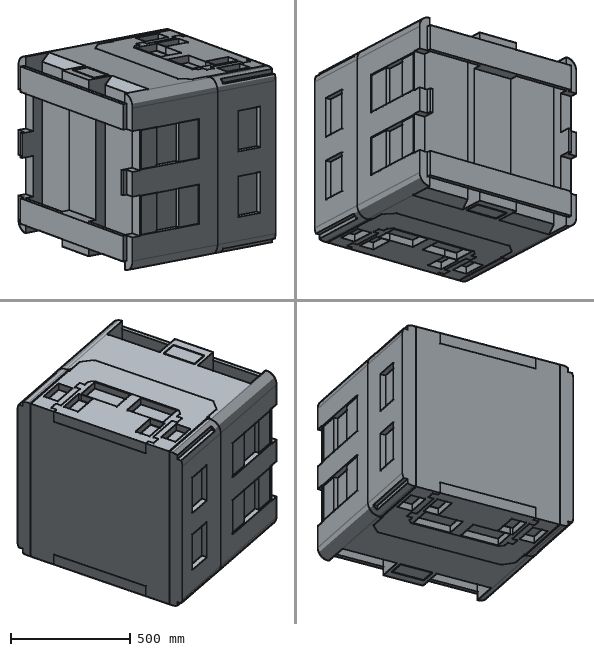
import cadquery as cq

width = 819.15
height = 768.35
body_depth = 742.95
corner_radius = 50.8
half_width = width / 2
half_height = height / 2

seam_y = 441.325

bumper_thickness = 19.05
bumper_inset = 41.275
bumper_half_width = half_width - bumper_inset
bumper_half_height = half_height - bumper_inset

arm_length = 38.1
corner_arm_height = 152.4
window_half_height = half_height - corner_arm_height
middle_arm_half_height = 53.975
side_wall = 53.975
bay_outer_x = half_width - side_wall
column_half_width = 95.25
bay_depth = 85.725
bay_bevel = 34.925

label_width = 152.4
label_length = 76.2
label_front_y = 41.275
label_recess = 3.175

slot_margin = 3.175
slot_bottom = middle_arm_half_height + slot_margin
slot_top = window_half_height - slot_margin
slot_front_y = 44.45
slot_back_y = 346.075
slot_recess = 6.35
slot_pocket_front_y = 130.175
slot_pocket_back_y = 244.475
slot_pocket_depth = 25.4

tongue_front_y = 317.5
tongue_half_width = 339.725
tongue_chamfer = 44.45
centre_half_width = 342.9
mouth_radius = 25.4

side_gap = 3.175
side_block_inner_x = centre_half_width + side_gap
corner_step = 25.4
corner_step_length = 266.7

side_pocket_back_y = body_depth - 79.375
side_pocket_front_y = body_depth - 193.675
side_pocket_depth = 25.4

top_pocket_depth = 31.75
outer_pocket_inner_x = 257.175
outer_pocket_outer_x = 327.025
outer_pocket_back_y = body_depth - 76.2
outer_pocket_front_y = body_depth - 193.675

cap_thickness = 50.8
cap_half_width = 228.6
cap_tab = 25.4
cap_front_y = body_depth - 288.925
cap_chamfer = 19.05
rear_tab_y = (body_depth - 57.15, body_depth - 19.05)
front_tab_y = (body_depth - 244.475, body_depth - 206.375)
small_pocket_x = (142.875, 212.725)
small_pocket_y = (body_depth - 171.45, body_depth - 53.975)
large_pocket_x = (25.4, 203.2)
large_pocket_y = (body_depth - 282.575, body_depth - 174.625)


def box(x_range, y_range, z_range):
    """Box spanning the given ranges."""
    size = [high - low for low, high in (x_range, y_range, z_range)]
    corner = (x_range[0], y_range[0], z_range[0])
    return cq.Workplane("XY").box(*size, centered=False).translate(corner)


def both_x(shape):
    """The shape and its mirror image across x = 0."""
    return shape.union(shape.mirror("YZ"))


def both_z(shape):
    """The shape and its mirror image across z = 0."""
    return shape.union(shape.mirror("XY"))


def rounded_block(front_y, back_y):
    """Full section with rounded edges along Y."""
    block = box((-half_width, half_width), (front_y, back_y), (-half_height, half_height))
    return block.edges("|Y").fillet(corner_radius)


def full_height_prism(outline):
    """Plan outline extruded through the whole height."""
    prism = cq.Workplane("XY").polyline(outline).close().extrude(height)
    return prism.translate((0, 0, -half_height))


def tongue():
    """Tongue of the centre block, with its front corners cut off."""
    chamfer_x = tongue_half_width - tongue_chamfer
    right = [
        (chamfer_x, tongue_front_y),
        (tongue_half_width, tongue_front_y + tongue_chamfer),
        (tongue_half_width, seam_y),
    ]
    left = [(-x, y) for x, y in reversed(right)]
    return full_height_prism(right + left)


def front_bay():
    """Open bay beside the central column, with its back face bevelled at the top and bottom."""
    bevel_z = half_height - bay_bevel
    profile = [
        (0, -half_height),
        (bay_depth + bay_bevel, -half_height),
        (bay_depth, -bevel_z),
        (bay_depth, bevel_z),
        (bay_depth + bay_bevel, half_height),
        (0, half_height),
    ]
    bay = cq.Workplane("YZ").polyline(profile).close().extrude(bay_outer_x - column_half_width)
    return both_x(bay.translate((column_half_width, 0, 0)))


def front_window():
    """Space between the arms, in front of the central column and of the side walls."""
    arm_y = (0, arm_length)
    middle = box((-bay_outer_x, bay_outer_x), arm_y, (-window_half_height, window_half_height))
    notch = box((-half_width, half_width), arm_y, (middle_arm_half_height, window_half_height))
    return middle.union(both_z(notch))


def hand_slots():
    """Stepped slots in both sides of the shell, two per side."""
    slot_z = (slot_bottom, slot_top)
    recess = box((half_width - slot_recess, half_width), (slot_front_y, slot_back_y), slot_z)
    pocket = box(
        (half_width - slot_pocket_depth, half_width),
        (slot_pocket_front_y, slot_pocket_back_y),
        slot_z,
    )
    return both_x(both_z(recess.union(pocket)))


def label_recesses():
    """Recesses on the top and bottom of the central arms."""
    recess = box(
        (-label_width / 2, label_width / 2),
        (label_front_y, label_front_y + label_length),
        (half_height - label_recess, half_height),
    )
    return both_z(recess)


def tongue_mouth_rounds():
    """Material removed to round both vertical edges at the mouth of the tongue opening."""
    corner = box(
        (tongue_half_width, tongue_half_width + mouth_radius),
        (seam_y - mouth_radius, seam_y),
        (-half_height, half_height),
    )
    round_bar = cq.Workplane("XY").circle(mouth_radius).extrude(height).translate(
        (tongue_half_width + mouth_radius, seam_y - mouth_radius, -half_height)
    )
    return both_x(corner.cut(round_bar))


def bumpers():
    """Full-width bars across the top and bottom arms, and a pad on each middle arm."""
    bumper_y = (-bumper_thickness, 0)
    bar = box((-bumper_half_width, bumper_half_width), bumper_y, (window_half_height, bumper_half_height))
    pad = box(
        (bay_outer_x, bumper_half_width),
        bumper_y,
        (-middle_arm_half_height, middle_arm_half_height),
    )
    return both_z(bar).union(both_x(pad))


front_shell = (
    rounded_block(0, seam_y)
    .cut(front_bay())
    .cut(front_window())
    .cut(hand_slots())
    .cut(label_recesses())
    .cut(tongue())
    .cut(tongue_mouth_rounds())
    .union(bumpers())
)


def cap_blank():
    """Top cap plate before its pockets: a bevelled plate with two tabs on each side."""
    cap_z = (half_height - cap_thickness, half_height)
    plate = box((-cap_half_width, cap_half_width), (cap_front_y, body_depth), cap_z)
    plate = plate.edges("|Z and <Y").chamfer(cap_chamfer)
    tab_half_width = cap_half_width + cap_tab
    for tab_y in (rear_tab_y, front_tab_y):
        plate = plate.union(box((-tab_half_width, tab_half_width), tab_y, cap_z))
    return plate


def cap_pockets():
    """Small and large pockets, one pair on each side."""
    pocket_z = (half_height - top_pocket_depth, half_height)
    small = box(small_pocket_x, small_pocket_y, pocket_z)
    large = box(large_pocket_x, large_pocket_y, pocket_z)
    return both_x(small.union(large))


top_cap = cap_blank().cut(cap_pockets())
bottom_cap = top_cap.mirror("XY")


def outer_pockets():
    """Pockets beside the cap plates, in the top and the bottom."""
    pocket = box(
        (outer_pocket_inner_x, outer_pocket_outer_x),
        (outer_pocket_front_y, outer_pocket_back_y),
        (half_height - top_pocket_depth, half_height),
    )
    return both_x(both_z(pocket))


centre_block = (
    box((-centre_half_width, centre_half_width), (seam_y, body_depth), (-half_height, half_height))
    .union(tongue())
    .cut(both_z(cap_blank()))
    .cut(outer_pockets())
)


def corner_steps():
    """Steps cut into the rounded edges, open at the rear."""
    step = box(
        (half_width - corner_step, half_width),
        (body_depth - corner_step_length, body_depth),
        (half_height - corner_step, half_height),
    )
    return both_z(step)


def side_pockets():
    """Two pockets in the outer face, level with the front notches."""
    pocket = box(
        (half_width - side_pocket_depth, half_width),
        (side_pocket_front_y, side_pocket_back_y),
        (middle_arm_half_height, window_half_height),
    )
    return both_z(pocket)


side_region = box((side_block_inner_x, half_width), (seam_y, body_depth), (-half_height, half_height))
right_side_block = (
    rounded_block(seam_y, body_depth).intersect(side_region).cut(corner_steps()).cut(side_pockets())
)
left_side_block = right_side_block.mirror("YZ")

result = cq.Compound.makeCompound([
    front_shell.val(),
    centre_block.val(),
    right_side_block.val(),
    left_side_block.val(),
    top_cap.val(),
    bottom_cap.val(),
])